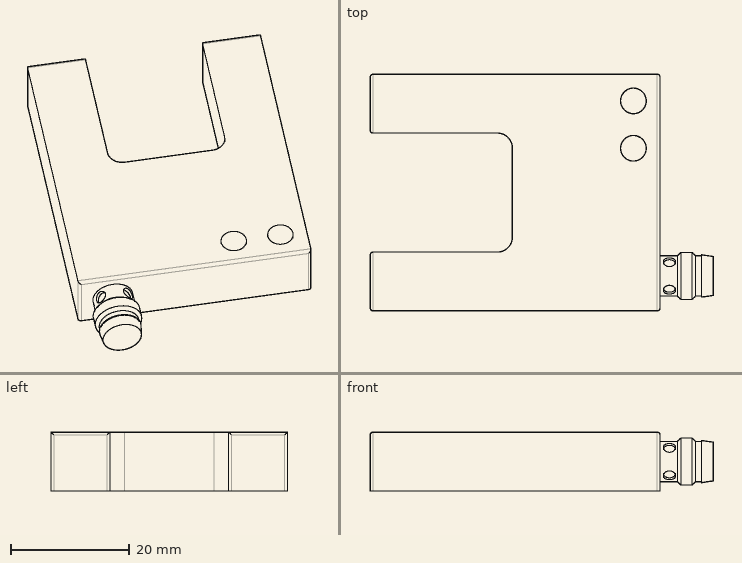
import cadquery as cq

total_length = 58.0
body_length = 49.0
body_width = 40.0
body_height = 10.0
edge_radius = 0.5

arm_width = 10.0
slot_depth = 24.0
slot_corner_radius = 2.5

hole_diameter = 4.3
hole_rear_inset = 4.5
hole_side_inset = 4.5
hole_spacing = 8.0

connector_y = 5.9
connector_z = body_height / 2
connector_length = total_length - body_length
neck_radius = 3.4
collar_radius = 4.0
collar_start = 2.9
collar_end = 6.0
collar_chamfer = collar_radius - neck_radius
barb_start = 7.0
barb_radius = 3.6
barb_tip_radius = 3.3

dimple_count = 4
dimple_diameter = 2.1
dimple_depth = 0.6
dimple_station = 1.55
first_dimple_angle = 45.0


def make_body():
    body = cq.Workplane("XY").box(body_length, body_width, body_height, centered=False)
    slot = (
        cq.Workplane("XY")
        .box(slot_depth, body_width - 2 * arm_width, body_height, centered=False)
        .translate((0, arm_width, 0))
        .edges("|Z and >X")
        .fillet(slot_corner_radius)
    )
    body = body.cut(slot)
    body = body.faces("<X").edges("not(<Z)").fillet(edge_radius)
    return body.faces(">X").edges("not(<Z)").fillet(edge_radius)


def make_mounting_holes():
    hole_x = body_length - hole_rear_inset
    first_y = body_width - hole_side_inset
    return (
        cq.Workplane("XY")
        .pushPoints([(hole_x, first_y), (hole_x, first_y - hole_spacing)])
        .circle(hole_diameter / 2)
        .extrude(body_height)
    )


def make_dimple(angle):
    return (
        cq.Workplane("XY", origin=(dimple_station, 0, neck_radius - dimple_depth))
        .circle(dimple_diameter / 2)
        .extrude(2 * dimple_depth)
        .rotate((0, 0, 0), (1, 0, 0), angle)
    )


def make_connector():
    connector = (
        cq.Workplane("XY")
        .polyline([
            (0, 0),
            (0, neck_radius),
            (collar_start, neck_radius),
            (collar_start + collar_chamfer, collar_radius),
            (collar_end - collar_chamfer, collar_radius),
            (collar_end, neck_radius),
            (barb_start, neck_radius),
            (barb_start, barb_radius),
            (connector_length, barb_tip_radius),
            (connector_length, 0),
        ])
        .close()
        .revolve(360, (0, 0, 0), (1, 0, 0))
    )
    for index in range(dimple_count):
        angle = first_dimple_angle + index * 360 / dimple_count
        connector = connector.cut(make_dimple(angle))
    return connector.translate((body_length, connector_y, connector_z))


result = make_body().cut(make_mounting_holes()).union(make_connector())